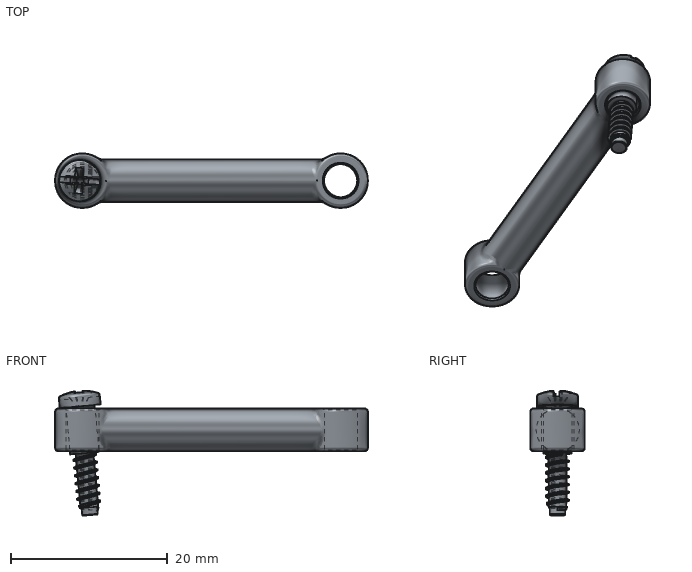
import cadquery as cq
import math

EYE_SPACING = 33.0
EYE_DIAMETER = 7.0
ROD_DIAMETER = 5.5
EYE_HEIGHT = ROD_DIAMETER
EYE_EDGE_RADIUS = 0.5
ROD_BLEND_RADIUS = 1.0
BORE_DIAMETER = 4.2
BORE_CHAMFER = 0.2

SCREW_X = -EYE_SPACING / 2
SCREW_LEAN = 5.2
SCREW_SPIN = -3.5

HEAD_SEAT = 3.02
SHOULDER_BOTTOM = -3.0
TIP_STEP = -9.95
TIP_BOTTOM = -10.95

HEAD_SEAT_RADIUS = 2.66
HEAD_RIM_RADIUS = 2.63
HEAD_RIM_HEIGHT = 1.13
DOME_EDGE_RADIUS = 2.3
DOME_EDGE_HEIGHT = 1.56
HEAD_HEIGHT = 2.02
RIM_BULGE = 0.08

SHOULDER_RADIUS = 1.85
CORE_RADIUS = 1.15
TIP_RADIUS = 1.02
TIP_CHAMFER = 0.1

THREAD_RADIUS = 1.5
THREAD_PITCH = 1.0
THREAD_BOTTOM = -10.27
THREAD_TOP = -3.2
THREAD_ROOT_WIDTH = 0.45
THREAD_CREST_WIDTH = 0.1
THREAD_ROOT_SINK = 0.1
RUNOUT_START = -8.9
RUNOUT_END = -10.5
RUNOUT_CLEARANCE = 0.08

SLOT_WIDTH = 0.72
SLOT_LENGTH = 3 * HEAD_SEAT_RADIUS
SLOT_DEPTH = 0.95
CROSS_SPAN = 3.6
CROSS_FLOOR_SPAN = 0.9
CROSS_WING_WIDTH = 1.1
CROSS_FLOOR_WING_WIDTH = 0.5
CROSS_DEPTH = 2.0


def make_eyelet():
    eyelet = cq.Workplane("XY").cylinder(EYE_HEIGHT, EYE_DIAMETER / 2)
    return eyelet.edges("%CIRCLE").fillet(EYE_EDGE_RADIUS)


def make_bore():
    half_height = EYE_HEIGHT / 2
    radius = BORE_DIAMETER / 2
    mouth_radius = radius + BORE_CHAMFER
    profile = (
        cq.Workplane("XZ")
        .moveTo(0, -half_height)
        .lineTo(mouth_radius, -half_height)
        .lineTo(radius, -half_height + BORE_CHAMFER)
        .lineTo(radius, half_height - BORE_CHAMFER)
        .lineTo(mouth_radius, half_height)
        .lineTo(0, half_height)
        .close()
    )
    return profile.revolve(360, (0, 0, 0), (0, 1, 0))


def make_arm():
    half_length = EYE_SPACING / 2
    rod = (
        cq.Workplane("YZ", origin=(-half_length, 0, 0))
        .circle(ROD_DIAMETER / 2)
        .extrude(EYE_SPACING)
    )
    eye_positions = [(-half_length, 0, 0), (half_length, 0, 0)]
    arm = rod
    for position in eye_positions:
        arm = make_eyelet().translate(position).union(arm)
    arm = arm.edges("%BSPLINE").fillet(ROD_BLEND_RADIUS)
    for position in eye_positions:
        arm = arm.cut(make_bore().translate(position))
    return arm


def make_screw_blank():
    """Head, shoulder, core and tip as one turned profile about the Z axis."""
    rim_top = HEAD_SEAT + HEAD_RIM_HEIGHT
    dome_edge = HEAD_SEAT + DOME_EDGE_HEIGHT
    crown = HEAD_SEAT + HEAD_HEIGHT
    dome_rise = crown - dome_edge
    dome_radius = (DOME_EDGE_RADIUS ** 2 + dome_rise ** 2) / (2 * dome_rise)
    dome_mid_r = DOME_EDGE_RADIUS / 2
    dome_mid_z = crown - dome_radius + math.sqrt(dome_radius ** 2 - dome_mid_r ** 2)
    rim_mid = (
        (HEAD_RIM_RADIUS + DOME_EDGE_RADIUS) / 2 + RIM_BULGE,
        (rim_top + dome_edge) / 2 + RIM_BULGE,
    )
    profile = (
        cq.Workplane("XZ")
        .moveTo(0, TIP_BOTTOM)
        .lineTo(TIP_RADIUS - TIP_CHAMFER, TIP_BOTTOM)
        .lineTo(TIP_RADIUS, TIP_BOTTOM + TIP_CHAMFER)
        .lineTo(TIP_RADIUS, TIP_STEP)
        .lineTo(CORE_RADIUS, TIP_STEP)
        .lineTo(CORE_RADIUS, SHOULDER_BOTTOM)
        .lineTo(SHOULDER_RADIUS, SHOULDER_BOTTOM)
        .lineTo(SHOULDER_RADIUS, HEAD_SEAT)
        .lineTo(HEAD_SEAT_RADIUS, HEAD_SEAT)
        .lineTo(HEAD_RIM_RADIUS, rim_top)
        .threePointArc(rim_mid, (DOME_EDGE_RADIUS, dome_edge))
        .threePointArc((dome_mid_r, dome_mid_z), (0, crown))
        .close()
    )
    return profile.revolve(360, (0, 0, 0), (0, 1, 0))


def make_thread():
    """Right-handed ridge whose crest tapers away towards the tip."""
    root_radius = CORE_RADIUS - THREAD_ROOT_SINK
    length = THREAD_TOP - THREAD_BOTTOM
    path = cq.Workplane(cq.Wire.makeHelix(THREAD_PITCH, length, root_radius))
    ridge = (
        cq.Workplane("XZ")
        .moveTo(root_radius, -THREAD_ROOT_WIDTH / 2)
        .lineTo(THREAD_RADIUS, -THREAD_CREST_WIDTH / 2)
        .lineTo(THREAD_RADIUS, THREAD_CREST_WIDTH / 2)
        .lineTo(root_radius, THREAD_ROOT_WIDTH / 2)
        .close()
        .sweep(path, isFrenet=True)
        .translate((0, 0, THREAD_BOTTOM))
    )
    envelope_radius = THREAD_RADIUS + RUNOUT_CLEARANCE
    envelope = (
        cq.Workplane("XZ")
        .moveTo(0, RUNOUT_END)
        .lineTo(TIP_RADIUS, RUNOUT_END)
        .lineTo(envelope_radius, RUNOUT_START)
        .lineTo(envelope_radius, HEAD_SEAT)
        .lineTo(0, HEAD_SEAT)
        .close()
        .revolve(360, (0, 0, 0), (0, 1, 0))
    )
    return ridge.intersect(envelope)


def make_drive_recess():
    """Straight slot across the head plus a cross recess with tapering wings."""
    crown = HEAD_SEAT + HEAD_HEIGHT
    slot = cq.Workplane("XY", origin=(0, 0, crown - SLOT_DEPTH)).box(
        SLOT_LENGTH, SLOT_WIDTH, 2 * SLOT_DEPTH, centered=(True, True, False)
    )
    wing = (
        cq.Workplane("XY", origin=(0, 0, crown))
        .rect(CROSS_SPAN, CROSS_WING_WIDTH)
        .workplane(offset=-CROSS_DEPTH)
        .rect(CROSS_FLOOR_SPAN, CROSS_FLOOR_WING_WIDTH)
        .loft(ruled=True)
    )
    recess = slot
    for angle in (0, 90):
        recess = recess.union(wing.rotate((0, 0, 0), (0, 0, 1), angle))
    return recess.rotate((0, 0, 0), (0, 0, 1), SCREW_SPIN)


def make_screw():
    screw = make_screw_blank().cut(make_drive_recess()).union(make_thread())
    leaning = screw.rotate((0, 0, 0), (0, 1, 0), -SCREW_LEAN)
    return leaning.translate((SCREW_X, 0, 0))


arm = make_arm()
screw = make_screw()
result = cq.Compound.makeCompound([arm.solids().val(), screw.solids().val()])